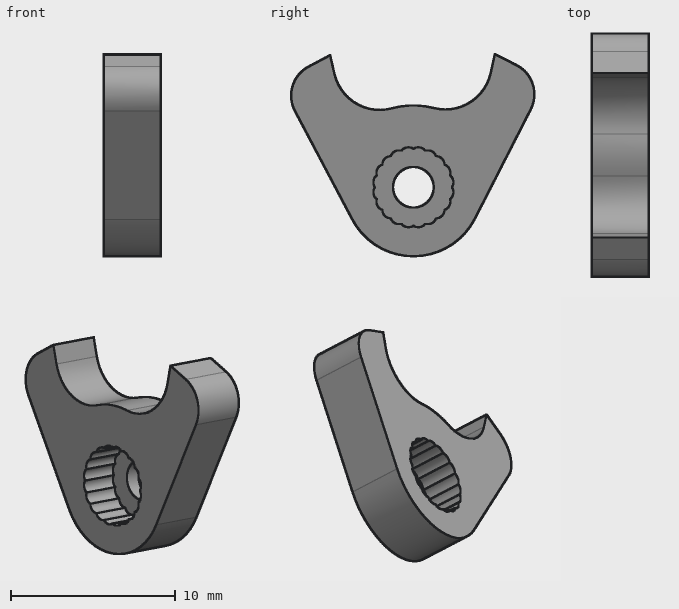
import cadquery as cq
import math

THICKNESS = 3.5
HUB_RADIUS = 4.2
TILT = 0.4

CORNER_RADIUS = 2.0
CORNER_Y = 5.4
CORNER_Z = 5.61

TIP_Y = 5.0
HOLLOW_RADIUS = 2.81
HOLLOW_Y = 2.0
HOLLOW_Z = 7.53

SCREW_HOLE_DIAMETER = 2.45
SCREW_HOLE_DEPTH = 1.0
SPLINE_TEETH = 20
SPLINE_RIDGE_RADIUS = 2.34
SPLINE_VALLEY_RADIUS = 2.45


def polar(radius, angle, center=(0, 0)):
    """Point at a radius and an angle (radians, from +Y towards +Z) about a centre."""
    return (center[0] + radius * math.cos(angle), center[1] + radius * math.sin(angle))


def mirrored(point):
    return (-point[0], point[1])


def lever_outline():
    """Closed outline, symmetric about Z, whose arcs run smoothly into each other."""
    corner = (CORNER_Y, CORNER_Z)
    hollow = (HOLLOW_Y, HOLLOW_Z)

    corner_direction = math.atan2(CORNER_Z, CORNER_Y)
    corner_distance = math.hypot(CORNER_Y, CORNER_Z)
    flank_normal = corner_direction - math.acos((HUB_RADIUS - CORNER_RADIUS) / corner_distance)
    flank_bottom = polar(HUB_RADIUS, flank_normal)
    flank_top = polar(CORNER_RADIUS, flank_normal, corner)

    end_normal = flank_normal + math.pi / 2
    corner_middle = polar(CORNER_RADIUS, flank_normal + math.pi / 4, corner)
    end_start = polar(CORNER_RADIUS, end_normal, corner)
    tip = (TIP_Y, end_start[1] + (end_start[0] - TIP_Y) / math.tan(end_normal))

    tip_direction = math.atan2(tip[1] - HOLLOW_Z, tip[0] - HOLLOW_Y)
    tip_distance = math.hypot(tip[0] - HOLLOW_Y, tip[1] - HOLLOW_Z)
    hollow_start_angle = tip_direction - math.acos(HOLLOW_RADIUS / tip_distance)
    hollow_start = polar(HOLLOW_RADIUS, hollow_start_angle, hollow)

    hollow_direction = math.atan2(HOLLOW_Z, HOLLOW_Y)
    hollow_end_angle = hollow_direction - math.pi
    hollow_middle = polar(HOLLOW_RADIUS, (hollow_start_angle + hollow_end_angle) / 2, hollow)
    crown_radius = math.hypot(HOLLOW_Y, HOLLOW_Z) - HOLLOW_RADIUS
    crown_end = polar(crown_radius, hollow_direction)

    return (
        cq.Workplane("YZ")
        .moveTo(*flank_bottom)
        .lineTo(*flank_top)
        .threePointArc(corner_middle, end_start)
        .lineTo(*tip)
        .lineTo(*hollow_start)
        .threePointArc(hollow_middle, crown_end)
        .threePointArc((0, crown_radius), mirrored(crown_end))
        .threePointArc(mirrored(hollow_middle), mirrored(hollow_start))
        .lineTo(*mirrored(tip))
        .lineTo(*mirrored(end_start))
        .threePointArc(mirrored(corner_middle), mirrored(flank_top))
        .lineTo(*mirrored(flank_bottom))
        .threePointArc((0, -HUB_RADIUS), flank_bottom)
        .close()
    )


def spline_socket():
    """Ring of concave scallops with a sharp ridge on the Y axis, open at the +X face."""
    pitch = 2 * math.pi / SPLINE_TEETH
    outline = cq.Workplane("YZ", origin=(SCREW_HOLE_DEPTH, 0, 0)).moveTo(SPLINE_RIDGE_RADIUS, 0)
    for tooth in range(SPLINE_TEETH):
        valley = polar(SPLINE_VALLEY_RADIUS, (tooth + 0.5) * pitch)
        ridge = polar(SPLINE_RIDGE_RADIUS, (tooth + 1) * pitch)
        outline = outline.threePointArc(valley, ridge)
    return outline.close().extrude(THICKNESS - SCREW_HOLE_DEPTH)


lever = lever_outline().extrude(THICKNESS).rotate((0, 0, 0), (1, 0, 0), TILT)
screw_hole = cq.Workplane("YZ").circle(SCREW_HOLE_DIAMETER / 2).extrude(THICKNESS)

result = lever.cut(screw_hole).cut(spline_socket())